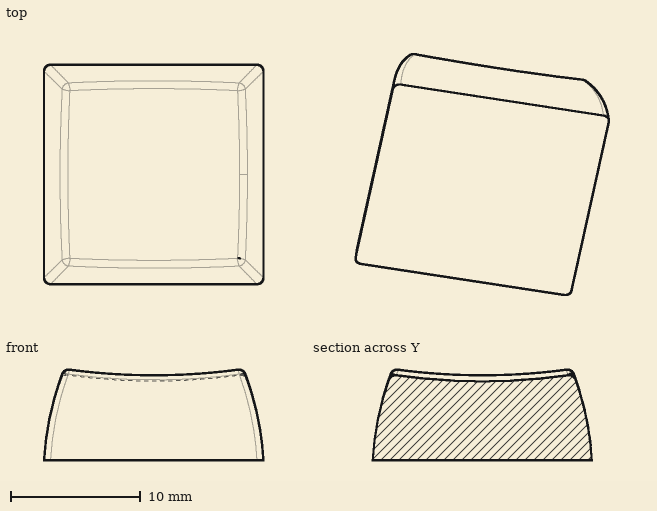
import cadquery as cq
import math

base_width = 16.9
blank_height = 8.45
blank_inset = 2.18
mid_inset = 0.65
corner_radius = 0.5
rim_radius = 0.55
dish_radius = 47.32
dish_floor = 6.1


def bowed_prism(plane):
    """Symmetric profile with two bowed sides, extruded across the base."""
    half = base_width / 2
    top_half = half - blank_inset
    mid_half = half - mid_inset
    return (
        cq.Workplane(plane)
        .moveTo(-half, 0)
        .lineTo(half, 0)
        .threePointArc((mid_half, blank_height / 2), (top_half, blank_height))
        .lineTo(-top_half, blank_height)
        .threePointArc((-mid_half, blank_height / 2), (-half, 0))
        .close()
        .extrude(half, both=True)
    )


def dish_cutter():
    """Solid above a spherical bowl centred on the Z axis."""
    reach = base_width
    rim_height = dish_floor + dish_radius - math.sqrt(dish_radius**2 - reach**2)
    mid_reach = reach / 2
    mid_height = dish_floor + dish_radius - math.sqrt(dish_radius**2 - mid_reach**2)
    ceiling = blank_height + rim_height
    return (
        cq.Workplane("XZ")
        .moveTo(0, dish_floor)
        .threePointArc((mid_reach, mid_height), (reach, rim_height))
        .lineTo(reach, ceiling)
        .lineTo(0, ceiling)
        .close()
        .revolve(360, (0, 0, 0), (0, 1, 0))
    )


body = bowed_prism("XZ").intersect(bowed_prism("YZ")).cut(dish_cutter())

body = body.edges("%ELLIPSE").fillet(corner_radius)
result = body.faces(">Z").edges().fillet(rim_radius)